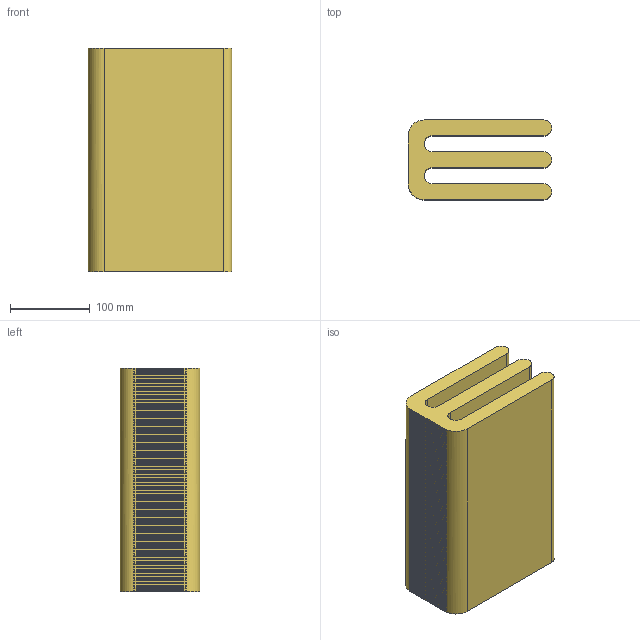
import cadquery as cq

length = 180.0
height = 280.0

fin_count = 3
fin_thickness = 20.0
slot_width = 20.0
wall_thickness = 20.0
corner_radius = 20.0
fin_pitch = fin_thickness + slot_width
width = fin_count * fin_thickness + (fin_count - 1) * slot_width

groove_pitch = 2.0
groove_radius = 0.2
groove_count = round(height / groove_pitch)


def centered_offsets(count, pitch):
    """Evenly spaced positions, symmetric about zero."""
    return [(i - (count - 1) / 2) * pitch for i in range(count)]


def make_wall():
    """Back wall, as deep as its rounded corners and the round slot bottoms need."""
    wall_depth = wall_thickness + slot_width / 2
    return (
        cq.Workplane("XY")
        .box(wall_depth, width, height, centered=(False, True, False))
        .edges("|Z and <X")
        .fillet(corner_radius)
    )


def make_fin(y):
    """Fin running out of the wall to a fully rounded tip."""
    tip_radius = fin_thickness / 2
    return (
        cq.Workplane("XY")
        .moveTo(corner_radius, y - tip_radius)
        .lineTo(length - tip_radius, y - tip_radius)
        .threePointArc((length, y), (length - tip_radius, y + tip_radius))
        .lineTo(corner_radius, y + tip_radius)
        .close()
        .extrude(height)
    )


def make_slot_bottom(y):
    """Cylinder that rounds the closed end of the slot between two fins."""
    radius = slot_width / 2
    return cq.Workplane("XY").center(wall_thickness + radius, y).circle(radius).extrude(height)


def make_grooves():
    """Half-round grooves along Y, stacked up the back from its bottom edge."""
    centers = [(0, i * groove_pitch) for i in range(groove_count)]
    return (
        cq.Workplane("XZ", origin=(0, width / 2, 0))
        .pushPoints(centers)
        .circle(groove_radius)
        .extrude(width)
    )


result = make_wall()
for fin_y in centered_offsets(fin_count, fin_pitch):
    result = result.union(make_fin(fin_y))
for slot_y in centered_offsets(fin_count - 1, fin_pitch):
    result = result.cut(make_slot_bottom(slot_y))
result = result.clean().cut(make_grooves())